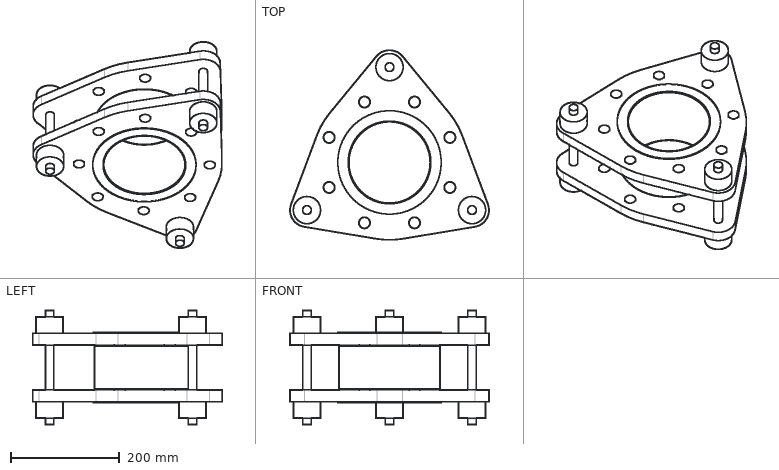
import cadquery as cq
import math

hub_radius = 142.5
lobe_radius = 31.3
rod_circle_radius = 175.0
plate_thickness = 22.0
plate_gap = 82.0
bolt_circle_radius = 120.0
bolt_hole_diameter = 20.0
bolt_hole_count = 8

lobe_count = 3
lobe_pitch = 360.0 / lobe_count
first_lobe_angle = 90.0

bore_diameter = 149.0
bore_recess_width = 1.5
bore_recess_depth = 1.5
sleeve_diameter = 186.0
sleeve_taper_width = 0.9
sleeve_taper_height = 2.3
seal_diameter = 190.0
seal_height = 2.0

rod_diameter = 16.0
rod_length = 210.0
boss_diameter = 50.0
boss_height = 30.0

plate_inner_z = plate_gap / 2
plate_outer_z = plate_inner_z + plate_thickness
seal_outer_z = plate_outer_z + seal_height


def polar(radius, angle, center=(0.0, 0.0)):
    """Point at a radius and an angle in degrees from a center."""
    turn = math.radians(angle)
    return (center[0] + radius * math.cos(turn), center[1] + radius * math.sin(turn))


lobe_angles = [first_lobe_angle + i * lobe_pitch for i in range(lobe_count)]
rod_centers = [polar(rod_circle_radius, angle) for angle in lobe_angles]


def cylinder(diameter, bottom, top, centers):
    """Upright cylinders of one diameter between two heights."""
    plane = cq.Workplane("XY").workplane(offset=bottom)
    return plane.pushPoints(centers).circle(diameter / 2).extrude(top - bottom)


def plate_outline():
    """Hub arcs and lobe arcs joined by their common outer tangents."""
    tangent_turn = math.degrees(math.acos((hub_radius - lobe_radius) / rod_circle_radius))
    start = polar(hub_radius, lobe_angles[0] - tangent_turn)
    outline = cq.Workplane("XY").moveTo(*start)
    for angle, center in zip(lobe_angles, rod_centers):
        lobe_start = polar(lobe_radius, angle - tangent_turn, center)
        lobe_tip = polar(lobe_radius, angle, center)
        lobe_end = polar(lobe_radius, angle + tangent_turn, center)
        hub_start = polar(hub_radius, angle + tangent_turn)
        hub_middle = polar(hub_radius, angle + lobe_pitch / 2)
        hub_end = polar(hub_radius, angle + lobe_pitch - tangent_turn)
        outline = outline.lineTo(*lobe_start).threePointArc(lobe_tip, lobe_end)
        outline = outline.lineTo(*hub_start).threePointArc(hub_middle, hub_end)
    return outline.close()


def flange_plate(bottom):
    """One plate with its ring of bolt holes straddling the X and Y axes."""
    plate = plate_outline().extrude(plate_thickness)
    hole_pitch = 360.0 / bolt_hole_count
    hole_centers = [polar(bolt_circle_radius, (i + 0.5) * hole_pitch) for i in range(bolt_hole_count)]
    holes = cylinder(bolt_hole_diameter, 0.0, plate_thickness, hole_centers)
    return plate.cut(holes).translate((0, 0, bottom))


def sleeve():
    """Bored sleeve, tapered in at both plates and ending in wider sealing faces."""
    bore_radius = bore_diameter / 2
    recess_radius = bore_radius + bore_recess_width
    recess_z = seal_outer_z - bore_recess_depth
    sleeve_radius = sleeve_diameter / 2
    taper_radius = sleeve_radius - sleeve_taper_width
    taper_z = plate_inner_z - sleeve_taper_height
    seal_radius = seal_diameter / 2
    upper_profile = [
        (bore_radius, 0.0),
        (bore_radius, recess_z),
        (recess_radius, recess_z),
        (recess_radius, seal_outer_z),
        (seal_radius, seal_outer_z),
        (seal_radius, plate_outer_z),
        (taper_radius, plate_outer_z),
        (taper_radius, plate_inner_z),
        (sleeve_radius, taper_z),
        (sleeve_radius, 0.0),
    ]
    axis_start = (0, 0, 0)
    axis_end = (0, 1, 0)
    upper_half = cq.Workplane("XZ").polyline(upper_profile).close().revolve(360, axis_start, axis_end)
    return upper_half.union(upper_half.mirror("XY"))


def flange_plates():
    """The two parallel plates, opened up to let the sleeve through."""
    lower_plate = flange_plate(-plate_outer_z)
    upper_plate = flange_plate(plate_inner_z)
    center_hole = cylinder(bore_diameter + 2 * bore_recess_width, -plate_outer_z, plate_outer_z, [(0, 0)])
    return lower_plate.union(upper_plate).cut(center_hole)


def tie_rods():
    """Full-length rods, each with a boss standing on the outer face of both plates."""
    rods = cylinder(rod_diameter, -rod_length / 2, rod_length / 2, rod_centers)
    boss_outer_z = plate_outer_z + boss_height
    lower_bosses = cylinder(boss_diameter, -boss_outer_z, -plate_outer_z, rod_centers)
    upper_bosses = cylinder(boss_diameter, plate_outer_z, boss_outer_z, rod_centers)
    return rods.union(lower_bosses).union(upper_bosses)


result = flange_plates().union(sleeve()).union(tie_rods())